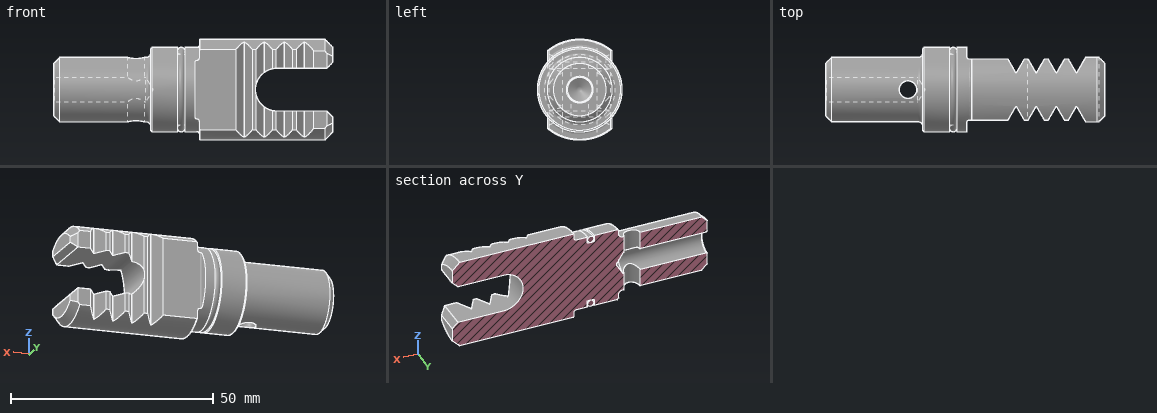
import cadquery as cq
import math

total_length = 69.0
shank_radius = 8.0
shank_chamfer = 1.5
shank_fillet = 1.05

collar_start = 23.95
collar_radius = 10.5
collar_chamfer = 0.4
ring_center_x = 31.5
ring_section_radius = 0.9
ring_center_radius = collar_radius - ring_section_radius

head_start = 36.0
head_radius = 12.5
head_edge_chamfer = 0.2
head_fillet = 0.55
head_tip_chamfer = 2.0
flat_start = 34.9
flat_half_width = 7.6
flat_fillet = 0.5

jaw_half_width = 8.0
jaw_chamfer = 1.5

groove_count = 4
groove_pitch = 5.0
first_valley_x = 47.05
last_valley_x = first_valley_x + (groove_count - 1) * groove_pitch
valley_half_width = 4.2
valley_floor = 0.15
groove_half_angle = math.radians(30)

slot_radius = 5.25
slot_center_x = 55.1

bore_radius = 3.05
bore_depth = 22.8
bore_chamfer = 0.3
bore_tip_angle = math.radians(118)
cross_hole_x = 20.35
cross_hole_radius = 2.15

clearance = 3.45


def turned_blank():
    """Shank, collar and head revolved about X."""
    return (
        cq.Workplane("XY")
        .moveTo(0, 0)
        .lineTo(0, shank_radius - shank_chamfer)
        .lineTo(shank_chamfer, shank_radius)
        .lineTo(collar_start - shank_fillet, shank_radius)
        .radiusArc((collar_start, shank_radius + shank_fillet), -shank_fillet)
        .lineTo(collar_start, collar_radius - collar_chamfer)
        .lineTo(collar_start + collar_chamfer, collar_radius)
        .lineTo(head_start - head_fillet, collar_radius)
        .radiusArc((head_start, collar_radius + head_fillet), -head_fillet)
        .lineTo(head_start, head_radius - head_edge_chamfer)
        .lineTo(head_start + head_edge_chamfer, head_radius)
        .lineTo(total_length - head_tip_chamfer, head_radius)
        .lineTo(total_length, head_radius - head_tip_chamfer)
        .lineTo(total_length, 0)
        .close()
        .revolve(360, (0, 0, 0), (1, 0, 0))
    )


def ring_groove():
    """Square-section groove in the collar that seats the seal ring."""
    width = 2 * ring_section_radius
    floor_radius = collar_radius - width
    return (
        cq.Workplane("YZ", origin=(ring_center_x - ring_section_radius, 0, 0))
        .circle(collar_radius + clearance)
        .circle(floor_radius)
        .extrude(width)
    )


def side_cutter():
    """Flat, serrations and jaw chamfer along the +Y side, as one prism through Z."""
    outside = head_radius + clearance
    depth = flat_half_width - valley_half_width
    groove_half = valley_floor / 2 + depth * math.tan(groove_half_angle)
    jaw_rise = (jaw_half_width - valley_half_width) * math.tan(groove_half_angle)
    jaw_start = last_valley_x + valley_floor / 2 + jaw_rise

    profile = (
        cq.Workplane("XY", origin=(0, 0, -outside))
        .moveTo(flat_start, outside)
        .lineTo(flat_start, flat_half_width + flat_fillet)
        .radiusArc((flat_start + flat_fillet, flat_half_width), -flat_fillet)
    )
    for index in range(groove_count):
        valley_x = first_valley_x + index * groove_pitch
        profile = (
            profile
            .lineTo(valley_x - groove_half, flat_half_width)
            .lineTo(valley_x - valley_floor / 2, valley_half_width)
            .lineTo(valley_x + valley_floor / 2, valley_half_width)
        )
        if index < groove_count - 1:
            profile = profile.lineTo(valley_x + groove_half, flat_half_width)
    return (
        profile
        .lineTo(jaw_start, jaw_half_width)
        .lineTo(total_length - jaw_chamfer, jaw_half_width)
        .lineTo(total_length + clearance, jaw_half_width - jaw_chamfer - clearance)
        .lineTo(total_length + clearance, outside)
        .close()
        .extrude(2 * outside)
    )


def jaw_slot():
    """Round-ended slot through Y that flares at the open end."""
    flare_start = total_length - jaw_chamfer
    flare_end = total_length + clearance
    flare_half = slot_radius + jaw_chamfer + clearance
    return (
        cq.Workplane("XZ")
        .moveTo(slot_center_x, slot_radius)
        .lineTo(flare_start, slot_radius)
        .lineTo(flare_end, flare_half)
        .lineTo(flare_end, -flare_half)
        .lineTo(flare_start, -slot_radius)
        .lineTo(slot_center_x, -slot_radius)
        .threePointArc((slot_center_x - slot_radius, 0), (slot_center_x, slot_radius))
        .close()
        .extrude(head_radius + clearance, both=True)
    )


def axial_bore():
    """Blind drilled bore from the shank end, chamfered at the mouth."""
    tip_length = bore_radius / math.tan(bore_tip_angle / 2)
    return (
        cq.Workplane("XY")
        .moveTo(0, 0)
        .lineTo(0, bore_radius + bore_chamfer)
        .lineTo(bore_chamfer, bore_radius)
        .lineTo(bore_depth, bore_radius)
        .lineTo(bore_depth + tip_length, 0)
        .close()
        .revolve(360, (0, 0, 0), (1, 0, 0))
    )


def cross_hole():
    """Hole through the shank along Z, crossing the bore."""
    return (
        cq.Workplane("XY")
        .center(cross_hole_x, 0)
        .circle(cross_hole_radius)
        .extrude(shank_radius + clearance, both=True)
    )


def make_plunger():
    side = side_cutter()
    return (
        turned_blank()
        .cut(ring_groove())
        .cut(side)
        .cut(side.mirror("XZ"))
        .cut(jaw_slot())
        .cut(axial_bore())
        .cut(cross_hole())
    )


def make_seal_ring():
    """Round-section ring seated in the collar groove, flush with the collar."""
    return (
        cq.Workplane("XY")
        .center(ring_center_x, ring_center_radius)
        .circle(ring_section_radius)
        .revolve(360, (0, -ring_center_radius, 0), (1, -ring_center_radius, 0))
    )


plunger = make_plunger()
seal_ring = make_seal_ring()

result = cq.Compound.makeCompound([plunger.val(), seal_ring.val()])